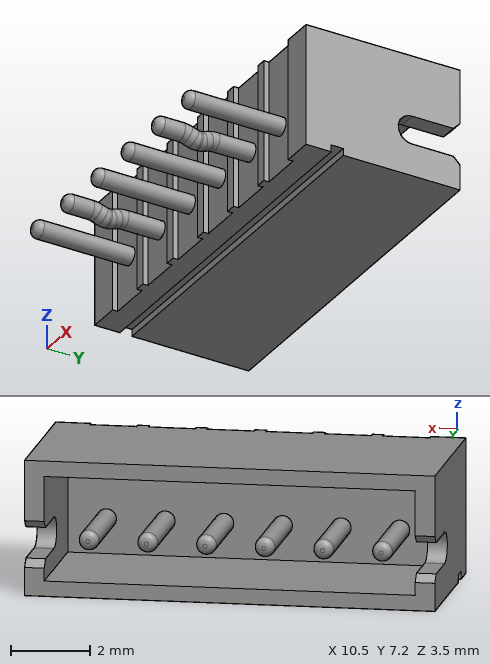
import cadquery as cq
import math


housing_width = 10.5
housing_depth = 4.5
housing_height = 3.5
side_wall = 0.5
face_wall = 0.4
floor_thickness = 1.1

slot_width = 0.81
slot_depth = 1.81
slot_z = 1.33
lip_chamfer = 0.2

notch_y = 0.74
notch_width = 0.36
notch_height = 0.2

groove_width = 1.2
groove_depth = 0.15

pin_count = 6
kinked_pins = (1, 4)
pitch = 1.5
pin_radius = 0.25
pin_z = 1.3
tail_length = 2.7
pin_length = 6.5
tip_fillet = 0.2
pin_positions = [(i - (pin_count - 1) / 2) * pitch for i in range(pin_count)]

kink_y = -1.41
kink_half_length = 0.5
kink_angle = math.radians(18)
entry_radius = 0.65
crest_radius = 0.35
crest_half_flat = 0.02


def prism_along_x(outline):
    """Extrude a closed YZ outline across the whole housing width."""
    return outline.extrude(housing_width / 2, both=True)


def make_slot():
    """Side-wall slot with a round inner end and a chamfered mouth."""
    half = slot_width / 2
    mouth_half = half + lip_chamfer
    inner_y = housing_depth - slot_depth
    chamfer_y = housing_depth - lip_chamfer
    return prism_along_x(
        cq.Workplane("YZ")
        .moveTo(housing_depth, slot_z + mouth_half)
        .lineTo(chamfer_y, slot_z + half)
        .lineTo(inner_y + half, slot_z + half)
        .threePointArc((inner_y, slot_z), (inner_y + half, slot_z - half))
        .lineTo(chamfer_y, slot_z - half)
        .lineTo(housing_depth, slot_z - mouth_half)
        .close()
    )


def make_notch():
    """Rectangular notch across the underside."""
    return prism_along_x(
        cq.Workplane("YZ")
        .moveTo(notch_y, 0)
        .rect(notch_width, notch_height, centered=False)
    )


def make_cavity():
    """Rectangular cavity, open toward +Y, inside the side and face walls."""
    return cq.Workplane("XY").box(
        housing_width - 2 * side_wall,
        housing_depth - floor_thickness,
        housing_height - 2 * face_wall,
        centered=(True, False, False),
    ).translate((0, floor_thickness, face_wall))


def make_housing(pins):
    """Shrouded housing with a fitting hole for every pin."""
    housing = cq.Workplane("XY").box(
        housing_width, housing_depth, housing_height, centered=(True, False, False)
    )
    housing = housing.cut(make_cavity()).cut(make_slot()).cut(make_notch())
    groove = cq.Workplane("XY").box(
        groove_width, groove_depth, housing_height, centered=(True, False, False)
    )
    for x in pin_positions:
        housing = housing.cut(groove.translate((x, 0, 0)))
    for pin in pins:
        housing = housing.cut(pin)
    return housing


def straight_axis():
    """Axis of a plain pin in the YZ plane, from tail tip to contact tip."""
    return cq.Workplane("YZ").moveTo(-tail_length, pin_z).lineTo(pin_length - tail_length, pin_z)


def kinked_axis():
    """Axis of a pin whose tail bows down: entry bend, ramp, crest bend, flat, then mirrored."""
    half_angle = kink_angle / 2

    def bend_run(radius, angle):
        return radius * math.sin(angle)

    def bend_drop(radius, angle):
        return radius * (1 - math.cos(angle))

    entry_end = kink_half_length - bend_run(entry_radius, kink_angle)
    crest_start = crest_half_flat + bend_run(crest_radius, kink_angle)
    entry_drop = bend_drop(entry_radius, kink_angle)
    ramp_drop = entry_drop + (entry_end - crest_start) * math.tan(kink_angle)
    full_drop = ramp_drop + bend_drop(crest_radius, kink_angle)

    entry_mid = kink_half_length - bend_run(entry_radius, half_angle)
    entry_mid_drop = bend_drop(entry_radius, half_angle)
    crest_mid = crest_half_flat + bend_run(crest_radius, half_angle)
    crest_mid_drop = full_drop - bend_drop(crest_radius, half_angle)

    def tail_side(offset, drop):
        return (kink_y - offset, pin_z - drop)

    def housing_side(offset, drop):
        return (kink_y + offset, pin_z - drop)

    return (
        cq.Workplane("YZ")
        .moveTo(-tail_length, pin_z)
        .lineTo(*tail_side(kink_half_length, 0))
        .threePointArc(tail_side(entry_mid, entry_mid_drop), tail_side(entry_end, entry_drop))
        .lineTo(*tail_side(crest_start, ramp_drop))
        .threePointArc(tail_side(crest_mid, crest_mid_drop), tail_side(crest_half_flat, full_drop))
        .lineTo(*housing_side(crest_half_flat, full_drop))
        .threePointArc(housing_side(crest_mid, crest_mid_drop), housing_side(crest_start, ramp_drop))
        .lineTo(*housing_side(entry_end, entry_drop))
        .threePointArc(housing_side(entry_mid, entry_mid_drop), housing_side(kink_half_length, 0))
        .lineTo(pin_length - tail_length, pin_z)
    )


def make_pin(axis, x):
    """Round pin swept along its axis, with rounded tips, moved to its place in the row."""
    section = cq.Workplane("XZ", origin=(0, -tail_length, pin_z)).circle(pin_radius)
    pin = section.sweep(axis)
    pin = pin.faces("<Y or >Y").edges().fillet(tip_fillet)
    return pin.translate((x, 0, 0))


pins = []
for index, x in enumerate(pin_positions):
    axis = kinked_axis() if index in kinked_pins else straight_axis()
    pins.append(make_pin(axis, x))

housing = make_housing(pins)

result = cq.Compound.makeCompound([housing.val(), *[pin.val() for pin in pins]])